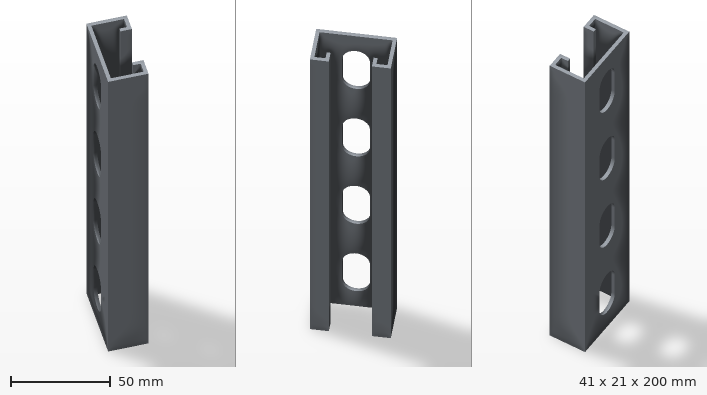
import cadquery as cq

length = 200.0
width = 41.0
depth = 21.0
wall = 2.0
flange_width = 9.5
lip_depth = 6.0

slot_length = 28.0
slot_width = 14.0
slot_pitch = 50.0
slot_count = 4
top_slot_offset = 25.0


def make_channel():
    """Extrude the lipped channel section along Z."""
    half = width / 2
    inner_half = half - wall
    lip_outer = half - flange_width
    lip_inner = lip_outer + wall
    right_side = [
        (half, 0),
        (half, depth),
        (lip_outer, depth),
        (lip_outer, depth - lip_depth),
        (lip_inner, depth - lip_depth),
        (lip_inner, depth - wall),
        (inner_half, depth - wall),
        (inner_half, wall),
    ]
    left_side = [(-x, y) for x, y in reversed(right_side)]
    return cq.Workplane("XY").polyline(right_side + left_side).close().extrude(length)


def make_slots():
    """Cutters for the row of slots, just long enough to pass through the web."""
    first_z = length - top_slot_offset
    centres = [(0, first_z - i * slot_pitch) for i in range(slot_count)]
    return (
        cq.Workplane("XZ")
        .pushPoints(centres)
        .slot2D(slot_length, slot_width, 90)
        .extrude(-2 * wall)
    )


result = make_channel().cut(make_slots())